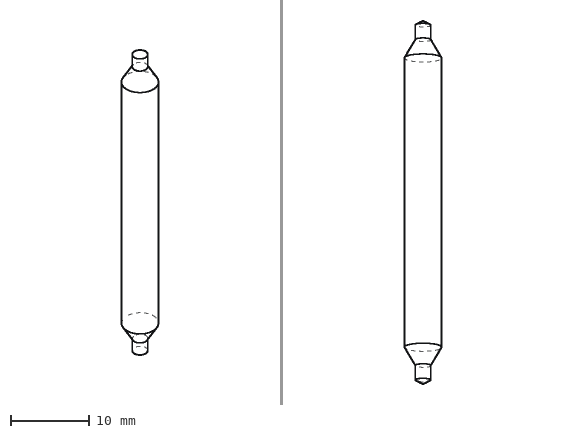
import cadquery as cq
import math

overall_length = 47.6
body_diameter = 4.75
pilot_diameter = 2.0
pilot_length = 1.9
countersink_angle = 60.0
point_angle = 120.0

body_radius = body_diameter / 2
pilot_radius = pilot_diameter / 2
half_length = overall_length / 2

tip_height = pilot_radius / math.tan(math.radians(point_angle / 2))
countersink_height = (body_radius - pilot_radius) / math.tan(math.radians(countersink_angle / 2))
pilot_top = half_length - tip_height
pilot_base = pilot_top - pilot_length
body_top = pilot_base - countersink_height

upper_profile = [
    (body_radius, body_top),
    (pilot_radius, pilot_base),
    (pilot_radius, pilot_top),
    (0, half_length),
]
lower_profile = [(radius, -height) for radius, height in reversed(upper_profile)]

result = (
    cq.Workplane("XZ")
    .polyline(lower_profile + upper_profile)
    .close()
    .revolve(360, (0, 0), (0, 1))
)